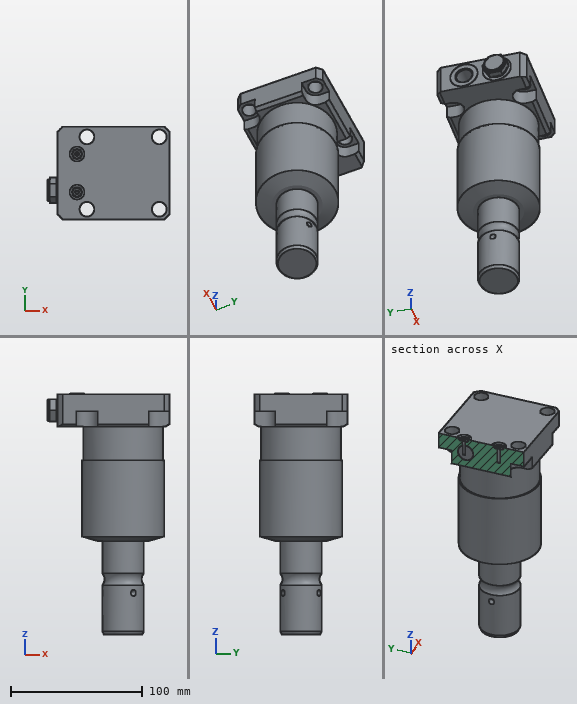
import cadquery as cq
import math


plate_width = 70.9
plate_length = 85.5
plate_thickness = 24.6
plate_bottom = 158.5
plate_top = plate_bottom + plate_thickness
plate_middle = plate_bottom + plate_thickness / 2
plate_right = plate_width / 2
plate_left = plate_right - plate_length
corner_chamfer = 4.0
edge_chamfer_width = 3.1
edge_chamfer_angle = 30
edge_chamfer_height = edge_chamfer_width * math.tan(math.radians(edge_chamfer_angle))

hole_offset = 27.5
hole_diameter = 11
clearance_diameter = 16.2
clearance_depth = 11.5

neck_radius = 30.5
body_diameter = 63.0
body_radius = body_diameter / 2
body_top = 132.8
body_bottom = 74.8
body_tip_radius = 19.5
body_tip_z = 71.3
rod_diameter = 31.8
rod_radius = rod_diameter / 2
rod_end_height = 2.5
rod_end_inset = 1.3
groove_top = 46.7
groove_bottom = 37.8
groove_depth = 1.7

dimple_radius = 2.4
dimple_z = 31.8
dimple_count = 3
first_dimple_angle = 180

port_offset = 13.0
port_diameter = 12.5
port_depth = 14.9
port_chamfer = 0.7
port_spotface_diameter = 21.7
plug_spotface_diameter = 22.5
spotface_depth = 0.2
plug_round_diameter = 16.5
plug_collar_length = 1.0
plug_across_flats = 17.0
plug_hex_length = 5.0
plug_cap_length = 1.8
plug_cap_chamfer = 0.7

passage_x = -35.0
passage_offset = 14.5
passage_diameter = 2.0
passage_bottom = plate_middle - 2.2
passage_chamfer = 0.5
seal_radius = 4.8
seal_section_radius = 1.0
seal_rise = 0.5
seal_recess_depth = 1.3
seat_diameter = 6.5
seat_depth = 1.0


def make_plate():
    plate = (
        cq.Workplane("XY", origin=((plate_left + plate_right) / 2, 0, plate_bottom))
        .rect(plate_length, plate_width)
        .extrude(plate_thickness)
        .edges("|Z")
        .chamfer(corner_chamfer)
    )
    return plate.intersect(edge_bevel("YZ", True)).intersect(edge_bevel("XZ", False))


def edge_bevel(plane, both_sides):
    """Long prism that bevels the plate's bottom edges on the positive side, or on both sides."""
    half = plate_right
    bevelled = half - edge_chamfer_width
    bevel_top = plate_bottom + edge_chamfer_height
    right = [(bevelled, plate_bottom), (half, bevel_top), (half, plate_top)]
    if both_sides:
        left = [(-half, plate_top), (-half, bevel_top), (-bevelled, plate_bottom)]
    else:
        left = [(plate_left, plate_top), (plate_left, plate_bottom)]
    return cq.Workplane(plane).polyline(right + left).close().extrude(plate_length, both=True)


def cut_mounting_holes(part):
    """Through holes, each with clearance below that is open to the nearest outer sides."""
    reach = plate_width / 2 - hole_offset + clearance_diameter
    slot_base = cq.Workplane("XY", origin=(0, 0, plate_bottom))
    for side_y in (-1, 1):
        y = side_y * hole_offset
        for x in (-hole_offset, hole_offset):
            hole = slot_base.center(x, y).circle(hole_diameter / 2).extrude(plate_thickness)
            head = slot_base.center(x, y).circle(clearance_diameter / 2).extrude(clearance_depth)
            side_slot = (
                slot_base.center(x, y + side_y * reach / 2)
                .rect(clearance_diameter, reach)
                .extrude(clearance_depth)
            )
            part = part.cut(hole).cut(head).cut(side_slot)
        corner_opening = (
            slot_base.center(hole_offset + reach / 2, y + side_y * (reach - clearance_diameter / 2) / 2)
            .rect(reach, reach + clearance_diameter / 2)
            .extrude(clearance_depth)
        )
        part = part.cut(corner_opening)
    return part


def make_turned_body():
    groove_middle = (groove_top + groove_bottom) / 2
    return (
        cq.Workplane("XZ")
        .moveTo(0, 0)
        .lineTo(rod_radius - rod_end_inset, 0)
        .lineTo(rod_radius, rod_end_height)
        .lineTo(rod_radius, groove_bottom)
        .threePointArc((rod_radius - groove_depth, groove_middle), (rod_radius, groove_top))
        .lineTo(rod_radius, body_tip_z)
        .lineTo(body_tip_radius, body_tip_z)
        .lineTo(body_radius, body_bottom)
        .lineTo(body_radius, body_top)
        .lineTo(neck_radius, body_top)
        .lineTo(neck_radius, plate_bottom)
        .lineTo(0, plate_bottom)
        .close()
        .revolve(360, (0, 0, 0), (0, 1, 0))
    )


def cut_dimples(part):
    for index in range(dimple_count):
        angle = math.radians(first_dimple_angle + index * 360 / dimple_count)
        outward = cq.Vector(math.cos(angle), math.sin(angle), 0)
        tip = outward * (rod_radius - dimple_radius) + cq.Vector(0, 0, dimple_z)
        cone_length = 2 * dimple_radius
        part = part.cut(cq.Workplane(cq.Solid.makeCone(0, cone_length, cone_length, tip, outward)))
    return part


def cut_ports(part):
    into_plate = cq.Vector(1, 0, 0)
    port_radius = port_diameter / 2
    plug_mouth = cq.Vector(plate_left, -port_offset, plate_middle)
    mouth = cq.Vector(plate_left, port_offset, plate_middle)
    for centre, diameter in ((plug_mouth, plug_spotface_diameter), (mouth, port_spotface_diameter)):
        spotface = cq.Solid.makeCylinder(diameter / 2, spotface_depth, centre, into_plate)
        part = part.cut(cq.Workplane(spotface))
    seat = mouth + into_plate * spotface_depth
    bore = cq.Solid.makeCylinder(port_radius, port_depth, mouth, into_plate)
    countersink = cq.Solid.makeCone(port_radius + port_chamfer, port_radius, port_chamfer, seat, into_plate)
    return part.cut(cq.Workplane(bore)).cut(cq.Workplane(countersink))


def make_plug():
    """Collar, hexagon and round cap, stacked outward from the left face."""
    across_corners = plug_across_flats / math.cos(math.radians(30))
    seat_x = plate_left + spotface_depth
    return (
        cq.Workplane("YZ", origin=(seat_x, -port_offset, plate_middle))
        .circle(plug_round_diameter / 2)
        .extrude(-(spotface_depth + plug_collar_length))
        .faces("<X")
        .workplane()
        .polygon(6, across_corners)
        .extrude(plug_hex_length)
        .faces("<X")
        .workplane()
        .circle(plug_round_diameter / 2)
        .extrude(plug_cap_length)
        .faces("<X")
        .chamfer(plug_cap_chamfer)
    )


def add_sealed_passage(part, y):
    """Stepped round recess with a seal ring standing proud of the top face, and a narrow passage below."""
    down = cq.Vector(0, 0, -1)
    ledge_z = plate_top - seal_recess_depth
    floor_z = ledge_z - seat_depth
    passage_radius = passage_diameter / 2
    recess = cq.Solid.makeCylinder(seal_radius, seal_recess_depth, cq.Vector(passage_x, y, plate_top), down)
    seat = cq.Solid.makeCylinder(seat_diameter / 2, seat_depth, cq.Vector(passage_x, y, ledge_z), down)
    floor = cq.Vector(passage_x, y, floor_z)
    passage = cq.Solid.makeCylinder(passage_radius, floor_z - passage_bottom, floor, down)
    countersink = cq.Solid.makeCone(
        passage_radius + passage_chamfer, passage_radius, passage_chamfer, floor, down
    )
    seal_centre = cq.Vector(passage_x, y, plate_top + seal_rise - seal_section_radius)
    seal = cq.Solid.makeTorus(seal_radius, seal_section_radius, seal_centre, cq.Vector(0, 0, 1))
    for cutter in (recess, seat, passage, countersink):
        part = part.cut(cq.Workplane(cutter))
    return part.union(cq.Workplane(seal))


result = cut_mounting_holes(make_plate())
result = cut_ports(result)
result = result.union(make_turned_body())
result = cut_dimples(result)
result = result.union(make_plug())
for passage_y in (-passage_offset, passage_offset):
    result = add_sealed_passage(result, passage_y)